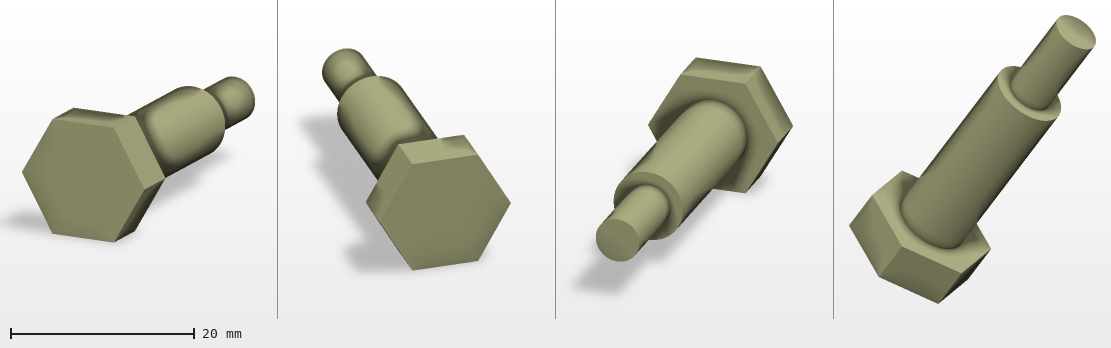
import cadquery as cq
import math

total_length = 36.0
head_width_across_flats = 13.0
head_thickness = 5.0
shoulder_diameter = 8.0
pin_diameter = 5.0
pin_length = 10.0

head_width_across_corners = head_width_across_flats / math.cos(math.pi / 6)
shoulder_length = total_length - head_thickness - pin_length


def add_cylinder(body, diameter, length):
    """Extend the body from its +Y end face with a coaxial cylinder."""
    return body.faces(">Y").workplane(centerOption="CenterOfMass").circle(diameter / 2).extrude(length)


head = cq.Workplane("XZ").polygon(6, head_width_across_corners).extrude(-head_thickness)

shouldered_head = add_cylinder(head, shoulder_diameter, shoulder_length)
result = add_cylinder(shouldered_head, pin_diameter, pin_length)